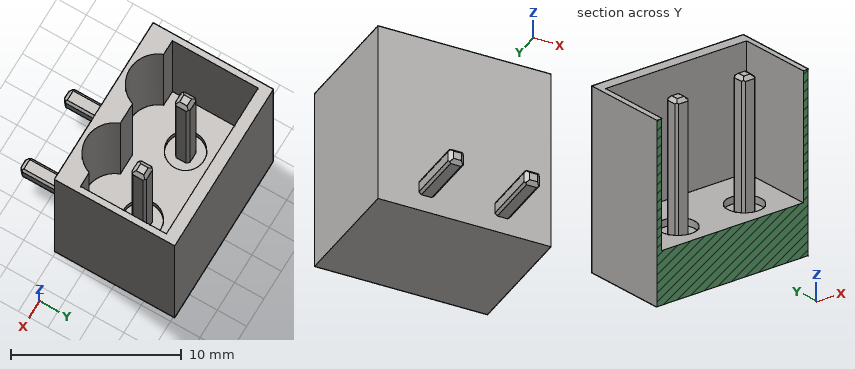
import cadquery as cq

width = 11.4
depth = 8.2
height = 12.1
side_wall = 0.4
back_wall = 0.8
front_wall = 1.55
cavity_depth = 8.54
floor_z = height - cavity_depth

lobe_radius = 1.92
lobe_front_wall = 0.3

recess_radius = 1.25
recess_depth = 0.49

pin_pitch = 5.0
pin_size = 1.0
pin_edge_chamfer = 0.16
pin_tip_chamfer = 0.25
pin_embed = 1.0
contact_y = depth / 2
contact_top_gap = 0.1
tail_z = 1.61
tail_length = 4.0
pin_xs = [width / 2 - pin_pitch / 2, width / 2 + pin_pitch / 2]


def box(x_size, y_size, z_size, corner):
    return cq.Workplane("XY").box(x_size, y_size, z_size, centered=False).translate(corner)


def cylinder(radius, length, base_center):
    return cq.Workplane("XY").circle(radius).extrude(length).translate(base_center)


def pin(length):
    """Upright pin on the Z axis with chamfered long edges and a tapered tip."""
    bar = cq.Workplane("XY").rect(pin_size, pin_size).extrude(length)
    bar = bar.edges("|Z").chamfer(pin_edge_chamfer)
    flat_end = pin_size - 2 * pin_tip_chamfer
    shaft = cq.Workplane("XY").rect(pin_size, pin_size).extrude(length - pin_tip_chamfer)
    taper = (
        cq.Workplane("XY")
        .workplane(offset=length - pin_tip_chamfer)
        .rect(pin_size, pin_size)
        .workplane(offset=pin_tip_chamfer)
        .rect(flat_end, flat_end)
        .loft(ruled=True)
    )
    return bar.intersect(shaft.union(taper))


cavity_width = width - 2 * side_wall
cavity_length = depth - front_wall - back_wall
result = box(width, depth, height, (0, 0, 0))
result = result.cut(box(cavity_width, cavity_length, cavity_depth, (side_wall, front_wall, floor_z)))

lobe_y = lobe_front_wall + lobe_radius
recess_z = floor_z - recess_depth
for x in pin_xs:
    result = result.cut(cylinder(lobe_radius, cavity_depth, (x, lobe_y, floor_z)))
    result = result.cut(cylinder(recess_radius, recess_depth, (x, contact_y, recess_z)))

contact_base = recess_z - pin_embed
contact = pin(height - contact_top_gap - contact_base)
tail = pin(tail_length + pin_embed).rotate((0, 0, 0), (1, 0, 0), 90)
for x in pin_xs:
    result = result.union(contact.translate((x, contact_y, contact_base)))
    result = result.union(tail.translate((x, pin_embed, tail_z)))